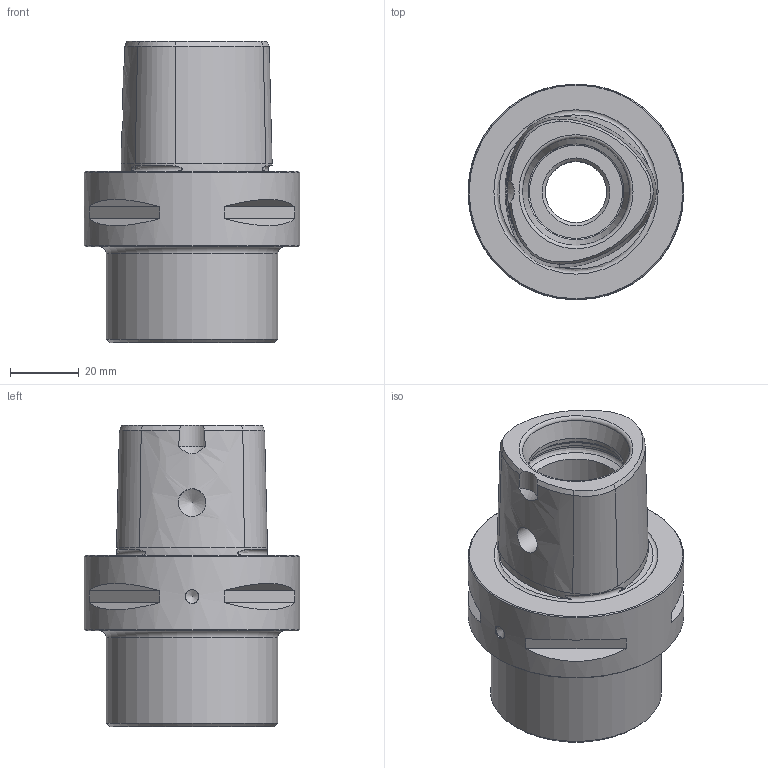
import cadquery as cq
import math

FLANGE_DIAMETER = 63.0
FLANGE_HEIGHT = 22.0
FLANGE_EDGE_CHAMFER = 0.3

BODY_DIAMETER = 50.0
BODY_BOTTOM_Z = -50.0
BODY_FILLET = 2.0
BODY_CHAMFER = 1.0

SHANK_HEIGHT = 38.0
SHANK_MEAN_DIAMETER = 44.1
SHANK_ECCENTRICITY = 1.35
SHANK_TAPER = 1 / 20
TAPER_START_Z = 2.2
SHANK_CHAMFER_HEIGHT = 1.4
SHANK_CHAMFER_INSET = 0.7
LOBE_COUNT = 3
LOBE_HALF_ANGLE = 27.6
SPLINE_STEPS = 8

RELIEF_RADIUS = 1.05
RELIEF_CENTER_RADIUS = 23.25
RELIEF_CENTER_Z = 0.75

MOUTH_FILLET = 1.0
ENTRY_DIAMETER = 31.3
LIP_DIAMETER = 28.0
LIP_TOP_Z = 31.8
LIP_BOTTOM_Z = 30.6
RECESS_DIAMETER = 31.1
RECESS_BOTTOM_Z = 29.1
STEP_DIAMETER = 31.3
STEP_BOTTOM_Z = 28.0
GROOVE_DIAMETER = 32.0
GROOVE_FILLET = 1.6
SEAT_ANGLE = 33.0
COUNTERBORE_DIAMETER = 27.2
COUNTERBORE_TOP_Z = 24.7
COUNTERBORE_FLOOR_Z = 0.0
THROUGH_DIAMETER = 17.84
THROUGH_CHAMFER = 1.0

GRIP_COUNT = 4
GRIP_START_ANGLE = 45.0
GRIP_CENTER_Z = -12.0
GRIP_FLOOR_DISTANCE = 27.9
GRIP_FLOOR_WIDTH = 3.5
GRIP_FLANK_ANGLE = 30.0
GRIP_OVERCUT = 1.0

DIMPLE_DIAMETER = 4.0
DIMPLE_DEPTH = 0.5
SHANK_HOLE_DIAMETER = 8.1
SHANK_HOLE_Z = 15.4
SHANK_HOLE_WALL_DEPTH = 1.0
DRILL_TIP_ANGLE = 118.0

NOTCH_RADIUS = 5.0
NOTCH_INNER_X = -17.95
NOTCH_WALL_BOTTOM_Z = 31.7


def polygon_point(diameter, angle):
    """Point and tangent where the outward normal of the polygon makes the given angle."""
    a = math.radians(angle)
    support = diameter / 2 + SHANK_ECCENTRICITY * math.cos(LOBE_COUNT * a)
    slope = -LOBE_COUNT * SHANK_ECCENTRICITY * math.sin(LOBE_COUNT * a)
    x = support * math.cos(a) - slope * math.sin(a)
    y = support * math.sin(a) + slope * math.cos(a)
    return cq.Vector(x, y, 0), cq.Vector(-math.sin(a), math.cos(a), 0)


def polygon_arc(diameter, start_angle, end_angle):
    step = (end_angle - start_angle) / SPLINE_STEPS
    samples = [polygon_point(diameter, start_angle + i * step) for i in range(SPLINE_STEPS + 1)]
    points = [point for point, _ in samples]
    return cq.Edge.makeSpline(points, tangents=[samples[0][1], samples[-1][1]])


def polygon_wire(diameter, z):
    """Closed polygon outline made of alternating lobe and flank curves."""
    pitch = 360 / LOBE_COUNT
    edges = []
    for i in range(LOBE_COUNT):
        lobe = i * pitch
        lobe_end = lobe + LOBE_HALF_ANGLE
        edges.append(polygon_arc(diameter, lobe - LOBE_HALF_ANGLE, lobe_end))
        edges.append(polygon_arc(diameter, lobe_end, lobe + pitch - LOBE_HALF_ANGLE))
    return cq.Wire.assembleEdges(edges).translate(cq.Vector(0, 0, z))


def make_shank():
    """Straight polygon foot, tapered length and end chamfer."""
    chamfer_z = SHANK_HEIGHT - SHANK_CHAMFER_HEIGHT
    chamfer_diameter = SHANK_MEAN_DIAMETER - (chamfer_z - TAPER_START_Z) * SHANK_TAPER
    end_diameter = chamfer_diameter - 2 * SHANK_CHAMFER_INSET
    foot_z = -FLANGE_HEIGHT / 2
    sections = [
        polygon_wire(SHANK_MEAN_DIAMETER, foot_z),
        polygon_wire(SHANK_MEAN_DIAMETER, TAPER_START_Z),
        polygon_wire(chamfer_diameter, chamfer_z),
        polygon_wire(end_diameter, SHANK_HEIGHT),
    ]
    shank = cq.Workplane()
    for lower, upper in zip(sections, sections[1:]):
        shank = shank.union(cq.Workplane(cq.Solid.makeLoft([lower, upper], True)))
    return shank


def make_turned_body():
    """Flange and the cylindrical body below it, joined by a concave fillet."""
    flange = (
        cq.Workplane()
        .circle(FLANGE_DIAMETER / 2)
        .extrude(-FLANGE_HEIGHT)
        .edges()
        .chamfer(FLANGE_EDGE_CHAMFER)
    )
    radius = BODY_DIAMETER / 2
    fillet_bottom_z = -FLANGE_HEIGHT - BODY_FILLET
    body = (
        cq.Workplane("XZ")
        .moveTo(0, -FLANGE_HEIGHT)
        .lineTo(radius + BODY_FILLET, -FLANGE_HEIGHT)
        .radiusArc((radius, fillet_bottom_z), -BODY_FILLET)
        .lineTo(radius, BODY_BOTTOM_Z + BODY_CHAMFER)
        .lineTo(radius - BODY_CHAMFER, BODY_BOTTOM_Z)
        .lineTo(0, BODY_BOTTOM_Z)
        .close()
        .revolve(360, (0, 0), (0, 1))
    )
    return flange.union(body)


def make_relief():
    return (
        cq.Workplane("XZ")
        .center(RELIEF_CENTER_RADIUS, RELIEF_CENTER_Z)
        .circle(RELIEF_RADIUS)
        .revolve(360, (-RELIEF_CENTER_RADIUS, 0), (-RELIEF_CENTER_RADIUS, 1))
    )


def make_bore():
    """Rounded mouth, tapered entry, lip, stepped groove, conical seat, counterbore and through hole."""
    entry = ENTRY_DIAMETER / 2
    lip = LIP_DIAMETER / 2
    recess = RECESS_DIAMETER / 2
    step = STEP_DIAMETER / 2
    groove = GROOVE_DIAMETER / 2
    counterbore = COUNTERBORE_DIAMETER / 2
    through = THROUGH_DIAMETER / 2
    entry_z = SHANK_HEIGHT - MOUTH_FILLET
    floor_z = COUNTERBORE_FLOOR_Z

    seat = math.radians(SEAT_ANGLE)
    corner_z = COUNTERBORE_TOP_Z + (groove - counterbore) * math.tan(seat)
    tangent_length = GROOVE_FILLET * math.tan((math.pi / 2 - seat) / 2)
    seat_start = (groove - tangent_length * math.cos(seat), corner_z - tangent_length * math.sin(seat))

    profile = (
        cq.Workplane("XZ")
        .moveTo(0, SHANK_HEIGHT)
        .lineTo(entry + MOUTH_FILLET, SHANK_HEIGHT)
        .radiusArc((entry, entry_z), -MOUTH_FILLET)
        .lineTo(lip, LIP_TOP_Z)
        .lineTo(lip, LIP_BOTTOM_Z)
        .lineTo(recess, LIP_BOTTOM_Z)
        .lineTo(recess, RECESS_BOTTOM_Z)
        .lineTo(step, RECESS_BOTTOM_Z)
        .lineTo(step, STEP_BOTTOM_Z)
        .lineTo(groove, STEP_BOTTOM_Z)
        .lineTo(groove, corner_z + tangent_length)
        .radiusArc(seat_start, GROOVE_FILLET)
        .lineTo(counterbore, COUNTERBORE_TOP_Z)
        .lineTo(counterbore, floor_z)
        .lineTo(through + THROUGH_CHAMFER, floor_z)
        .lineTo(through, floor_z - THROUGH_CHAMFER)
        .lineTo(through, BODY_BOTTOM_Z)
        .lineTo(0, BODY_BOTTOM_Z)
        .close()
    )
    return profile.revolve(360, (0, 0), (0, 1))


def make_grip_groove(angle):
    """Trapezoidal groove with a flat floor, cut along a chord of the flange."""
    outer = FLANGE_DIAMETER / 2 + GRIP_OVERCUT
    half_floor = GRIP_FLOOR_WIDTH / 2
    half_mouth = half_floor + (outer - GRIP_FLOOR_DISTANCE) * math.tan(math.radians(GRIP_FLANK_ANGLE))
    return (
        cq.Workplane("XZ")
        .moveTo(GRIP_FLOOR_DISTANCE, GRIP_CENTER_Z - half_floor)
        .lineTo(outer, GRIP_CENTER_Z - half_mouth)
        .lineTo(outer, GRIP_CENTER_Z + half_mouth)
        .lineTo(GRIP_FLOOR_DISTANCE, GRIP_CENTER_Z + half_floor)
        .close()
        .extrude(FLANGE_DIAMETER / 2, both=True)
        .rotate((0, 0, 0), (0, 0, 1), angle)
    )


def make_drilled_hole(surface_x, z, diameter, depth):
    """Blind hole with a drill tip, running in +X from a surface on the -X side."""
    radius = diameter / 2
    tip = radius / math.tan(math.radians(DRILL_TIP_ANGLE / 2))
    start_x = surface_x - radius
    shoulder_x = surface_x + depth
    return (
        cq.Workplane("XZ")
        .moveTo(start_x, z)
        .lineTo(start_x, z + radius)
        .lineTo(shoulder_x, z + radius)
        .lineTo(shoulder_x + tip, z)
        .close()
        .revolve(360, (0, z), (1, z))
    )


def make_notch():
    """Vertical round notch ending in a 45 degree cone."""
    axis_x = NOTCH_INNER_X - NOTCH_RADIUS
    return (
        cq.Workplane("XZ")
        .moveTo(axis_x, SHANK_HEIGHT)
        .lineTo(NOTCH_INNER_X, SHANK_HEIGHT)
        .lineTo(NOTCH_INNER_X, NOTCH_WALL_BOTTOM_Z)
        .lineTo(axis_x, NOTCH_WALL_BOTTOM_Z - NOTCH_RADIUS)
        .close()
        .revolve(360, (axis_x, 0), (axis_x, 1))
    )


shank_flank_x = -(SHANK_MEAN_DIAMETER - (SHANK_HOLE_Z - TAPER_START_Z) * SHANK_TAPER) / 2 + SHANK_ECCENTRICITY
shank_hole_depth = COUNTERBORE_DIAMETER / 2 + SHANK_HOLE_WALL_DEPTH - shank_flank_x

result = make_turned_body().union(make_shank())
result = result.cut(make_relief())
result = result.cut(make_bore())
for index in range(GRIP_COUNT):
    result = result.cut(make_grip_groove(GRIP_START_ANGLE + index * 360 / GRIP_COUNT))
result = result.cut(make_drilled_hole(-FLANGE_DIAMETER / 2, GRIP_CENTER_Z, DIMPLE_DIAMETER, DIMPLE_DEPTH))
result = result.cut(make_drilled_hole(shank_flank_x, SHANK_HOLE_Z, SHANK_HOLE_DIAMETER, shank_hole_depth))
result = result.cut(make_notch())